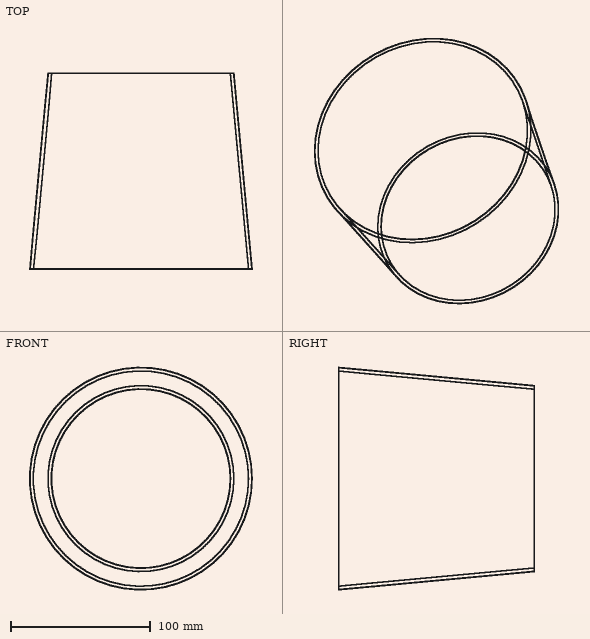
import cadquery as cq

large_diameter = 159.0
small_diameter = 133.0
length = 140.0
wall = 2.5

large_radius = large_diameter / 2
small_radius = small_diameter / 2

wall_section = (
    cq.Workplane("XY")
    .moveTo(large_radius - wall, 0)
    .lineTo(large_radius, 0)
    .lineTo(small_radius, length)
    .lineTo(small_radius - wall, length)
    .close()
)

result = wall_section.revolve(360, (0, 0, 0), (0, 1, 0))